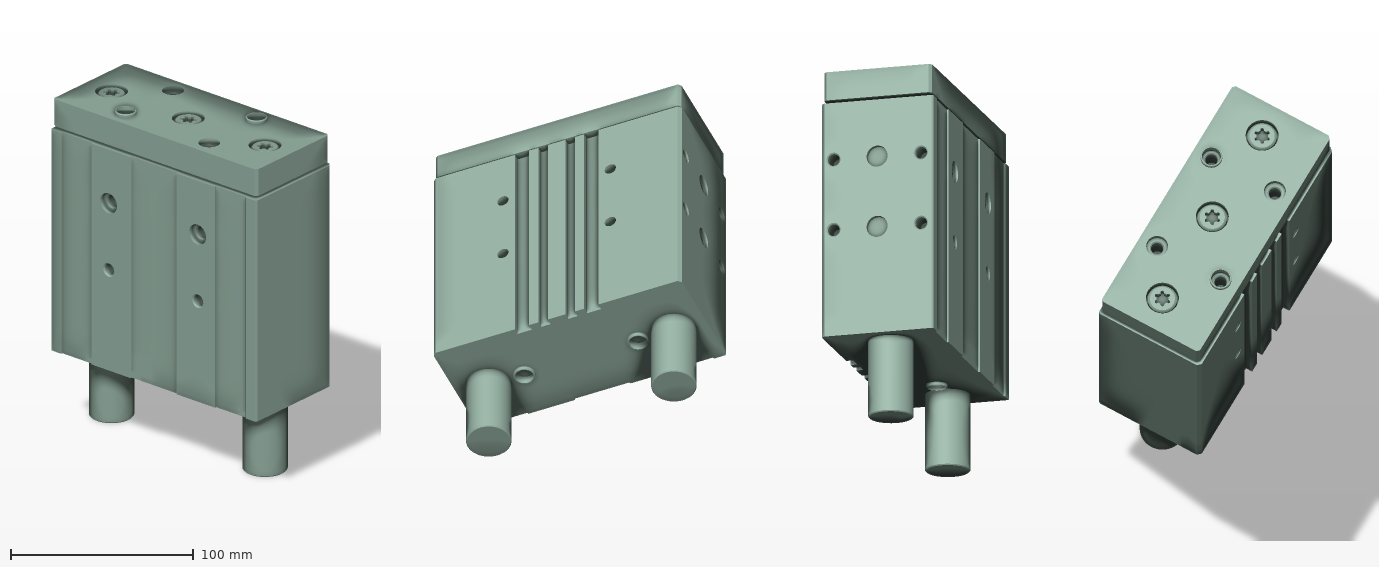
import cadquery as cq
import math

total_height = 196.3

housing_width = 148.0
housing_depth = 64.2
housing_height = 132.9
front_corner_x = 0.8
front_corner_y = 1.0
back_corner = 2.0
half_width = housing_width / 2
front_y = -housing_depth / 2
back_y = housing_depth / 2

strip_depth = 1.0
strip_wall_run = 0.5
side_strip_outer = 66.5
side_strip_inner = 44.4
middle_strip_half = 16.7

slot_depth = 4.0
outer_slot_width = 8.5
outer_slot_x = 20.6
inner_slot_width = 5.7
inner_slot_x = 8.0

thread_diameter = 6.7
thread_mouth_diameter = 8.0
sleeve_diameter = 12.0
sleeve_bore = 10.5
sleeve_protrusion = 2.0
sleeve_chamfer = 0.4
seat_depth = 3.0
lower_hole_z = 60.5
upper_hole_z = 100.5
front_hole_x = 32.0
side_hole_y = 25.0
side_hole_depth = 11.8
drill_tip_angle = 118
bottom_seat_x = 34.0
side_seat_depth = 2.7

rod_diameter = 25.0
rod_x = 55.2
rod_y = -2.4
rod_end_chamfer = 0.5
piston_rod_diameter = 14.1
piston_rod_bottom = housing_height / 2

plate_gap = 2.0
plate_width = 146.5
plate_depth = 61.6
plate_thickness = 16.0
plate_corner_chamfer = 1.5
plate_hole_x = 30.0
plate_hole_y = 20.0
plate_bottom = housing_height + plate_gap
plate_top = plate_bottom + plate_thickness
rod_bottom = plate_top + sleeve_protrusion - total_height

counterbore_diameter = 18.0
counterbore_depth = 5.9
screw_head_diameter = 16.0
screw_head_sink = 0.8
screw_head_chamfer = 1.2
socket_core_diameter = 6.5
socket_lobe_diameter = 2.0
socket_lobe_count = 6
socket_tip_diameter = 9.2
socket_depth = 4.0


def cylinder(diameter, bottom, top, x=0.0, y=0.0):
    """Upright cylinder between two heights."""
    return cq.Workplane("XY", origin=(x, y, bottom)).circle(diameter / 2).extrude(top - bottom)


def threaded_hole(depth, pointed):
    """Cutter for a threaded hole running along +Z from the origin, with a countersunk mouth."""
    radius = thread_diameter / 2
    mouth = thread_mouth_diameter / 2
    tip = radius / math.tan(math.radians(drill_tip_angle / 2)) if pointed else 0.0
    profile = cq.Workplane("XZ").moveTo(0, 0).lineTo(mouth, 0).lineTo(radius, mouth - radius)
    profile = profile.lineTo(radius, depth).lineTo(0, depth + tip).close()
    return profile.revolve(360, (0, 0, 0), (0, 1, 0))


def housing_outline():
    """Plan of the extruded housing with its front strips."""
    right_half = [
        (middle_strip_half - strip_wall_run, front_y + strip_depth),
        (middle_strip_half, front_y),
        (side_strip_inner, front_y),
        (side_strip_inner, front_y + strip_depth),
        (side_strip_outer - strip_wall_run, front_y + strip_depth),
        (side_strip_outer, front_y),
        (half_width - front_corner_x, front_y),
        (half_width, front_y + front_corner_y),
        (half_width, back_y - back_corner),
        (half_width - back_corner, back_y),
    ]
    left_half = [(-x, y) for x, y in reversed(right_half)]
    return right_half + left_half


def make_housing():
    body = cq.Workplane("XY").polyline(housing_outline()).close().extrude(housing_height)

    for side in (-1, 1):
        for x, width in ((outer_slot_x, outer_slot_width), (inner_slot_x, inner_slot_width)):
            slot = cq.Workplane("XY").rect(width, 2 * slot_depth).extrude(housing_height)
            body = body.cut(slot.translate((side * x, back_y, 0)))

    for side in (-1, 1):
        body = body.cut(cylinder(rod_diameter, 0, housing_height, side * rod_x, rod_y))
    body = body.cut(cylinder(piston_rod_diameter, piston_rod_bottom, housing_height, 0, rod_y))

    front_hole = threaded_hole(housing_depth, False).rotate((0, 0, 0), (1, 0, 0), -90)
    front_seat = cylinder(sleeve_diameter, 0, seat_depth).rotate((0, 0, 0), (1, 0, 0), -90)
    for side in (-1, 1):
        x = side * front_hole_x
        body = body.cut(front_hole.translate((x, front_y, lower_hole_z)))
        body = body.cut(front_hole.translate((x, front_y + seat_depth, upper_hole_z)))
        body = body.cut(front_seat.translate((x, front_y, upper_hole_z)))

    side_hole = threaded_hole(side_hole_depth, True).rotate((0, 0, 0), (0, 1, 0), 90)
    side_seat = cylinder(sleeve_diameter, 0, side_seat_depth).rotate((0, 0, 0), (0, 1, 0), 90)
    for z in (lower_hole_z, upper_hole_z):
        body = body.cut(side_seat.translate((-half_width, 0, z)))
        for side in (-1, 1):
            body = body.cut(side_hole.translate((-half_width, side * side_hole_y, z)))

    for side in (-1, 1):
        body = body.cut(cylinder(sleeve_diameter, 0, seat_depth, side * bottom_seat_x, rod_y))
    return body


def make_socket():
    """Cutter for a lobed driver socket going down from the origin."""
    lobe_reach = (socket_tip_diameter - socket_lobe_diameter) / 2
    cutter = cylinder(socket_core_diameter, -socket_depth, 0)
    for lobe in range(socket_lobe_count):
        angle = math.pi / 2 + lobe * 2 * math.pi / socket_lobe_count
        x = lobe_reach * math.cos(angle)
        y = lobe_reach * math.sin(angle)
        cutter = cutter.union(cylinder(socket_lobe_diameter, -socket_depth, 0, x, y))
    return cutter


def make_plate():
    """Plate with the piston rod and the screw heads fixed to it."""
    plate = (
        cq.Workplane("XY", origin=(0, 0, plate_bottom))
        .box(plate_width, plate_depth, plate_thickness, centered=(True, True, False))
        .edges("|Z")
        .chamfer(plate_corner_chamfer)
    )

    seat_floor = plate_top - seat_depth
    hole = threaded_hole(plate_thickness, False).rotate((0, 0, 0), (1, 0, 0), 180)
    for x in (-plate_hole_x, plate_hole_x):
        for y in (-plate_hole_y, plate_hole_y):
            plate = plate.cut(cylinder(sleeve_diameter, seat_floor, plate_top, x, y))
            plate = plate.cut(hole.translate((x, y, seat_floor)))

    counterbore_floor = plate_top - counterbore_depth
    head_top = plate_top - screw_head_sink
    socket = make_socket()
    for x in (-rod_x, 0, rod_x):
        plate = plate.cut(cylinder(counterbore_diameter, counterbore_floor, plate_top, x, rod_y))
        head = cylinder(screw_head_diameter, counterbore_floor, head_top, x, rod_y)
        head = head.faces(">Z").chamfer(screw_head_chamfer)
        head = head.cut(socket.translate((x, rod_y, head_top)))
        plate = plate.union(head)

    return plate.union(cylinder(piston_rod_diameter, piston_rod_bottom, plate_bottom, 0, rod_y))


def make_guide_rod(side):
    rod = cylinder(rod_diameter, rod_bottom, plate_bottom, side * rod_x, rod_y)
    return rod.faces("<Z").chamfer(rod_end_chamfer)


def make_sleeve(x, y, bottom):
    length = seat_depth + sleeve_protrusion
    sleeve = cylinder(sleeve_diameter, bottom, bottom + length, x, y)
    sleeve = sleeve.faces("<Z or >Z").chamfer(sleeve_chamfer)
    return sleeve.cut(cylinder(sleeve_bore, bottom, bottom + length, x, y))


housing = make_housing()
plate = make_plate()
guide_rods = [make_guide_rod(side) for side in (-1, 1)]
sleeves = []
for side in (-1, 1):
    sleeves.append(make_sleeve(side * plate_hole_x, side * plate_hole_y, plate_top - seat_depth))
    sleeves.append(make_sleeve(side * bottom_seat_x, rod_y, -sleeve_protrusion))

result = cq.Compound.makeCompound(
    [housing.val(), plate.val(), *[rod.val() for rod in guide_rods], *[sleeve.val() for sleeve in sleeves]]
)